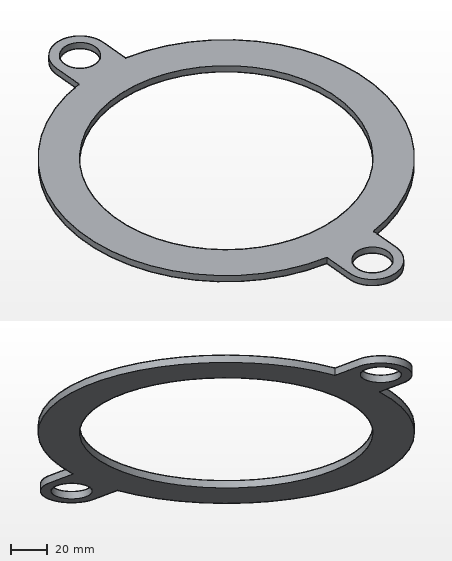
import cadquery as cq

overall_length = 273.0
thickness = 4.5
ring_diameter = 205.4
bore_diameter = 160.0
ear_width = 34.0
ear_hole_diameter = 22.5

ear_spacing = overall_length - ear_width
ear_centres = [(-ear_spacing / 2, 0), (ear_spacing / 2, 0)]


def make_blank():
    """Flat disc joined to a straight bar with round ends that forms both ears."""
    disc = cq.Workplane("XY").circle(ring_diameter / 2).extrude(thickness)
    ear_bar = cq.Workplane("XY").slot2D(overall_length, ear_width).extrude(thickness)
    return disc.union(ear_bar)


def make_openings():
    """Cutters for the central bore and the hole in each ear."""
    bore = cq.Workplane("XY").circle(bore_diameter / 2).extrude(thickness)
    ear_holes = (
        cq.Workplane("XY")
        .pushPoints(ear_centres)
        .circle(ear_hole_diameter / 2)
        .extrude(thickness)
    )
    return bore.union(ear_holes)


result = make_blank().cut(make_openings())